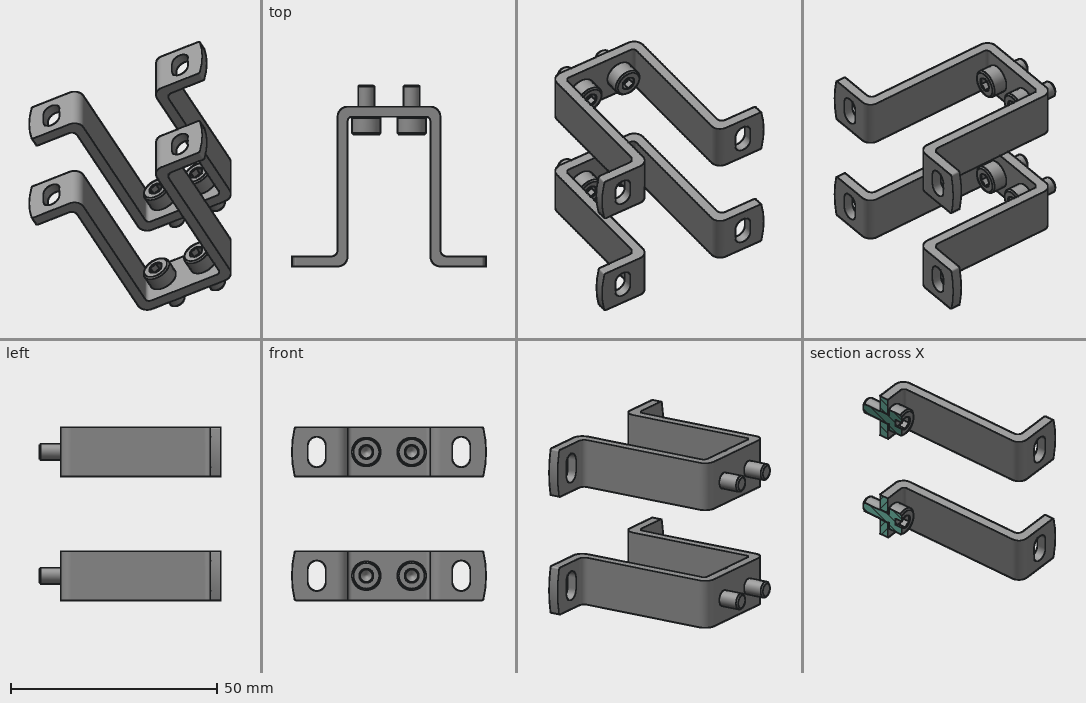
import cadquery as cq
import math

strip_width = 12.0
thickness = 2.5
inner_web_width = 20.0
outer_web_width = inner_web_width + 2 * thickness
bracket_depth = 38.8
foot_span = 47.14
outer_bend_radius = 2.5
web_inner_radius = 1.0
foot_inner_radius = 1.5
foot_end_radius = 25.0
foot_corner_radius = 0.5
bracket_pitch = 30.0

slot_spacing = 35.0
slot_width = 4.3
slot_length = 7.3

thread_diameter = 4.0
thread_length = 8.0
head_diameter = 7.0
head_height = 4.0
screw_spacing = 11.0
head_gap = 0.3
screw_chamfer = 0.4

socket_flats = 3.0
socket_corners = socket_flats / math.cos(math.pi / 6)
socket_depth = 2.0
socket_cone_slope = 30.0
socket_cone_depth = socket_flats / 2 * math.tan(math.radians(socket_cone_slope))
socket_lead_in = (socket_corners - socket_flats) / 2

inner_web_y = bracket_depth - thickness
screw_columns = (-screw_spacing / 2, screw_spacing / 2)
bracket_levels = (-bracket_pitch / 2, bracket_pitch / 2)


def round_bend_pair(strip, x, y, radius):
    """Fillet the two edges along Z that pass through (x, y) and its mirror image (-x, y)."""
    right_edge = cq.selectors.NearestToPointSelector((x, y, 0))
    left_edge = cq.selectors.NearestToPointSelector((-x, y, 0))
    return strip.edges(right_edge + left_edge).fillet(radius)


def bent_strip():
    """Hat-shaped profile in XY with rounded bends, centred on Z = 0."""
    inner_x = inner_web_width / 2
    outer_x = outer_web_width / 2
    end_x = foot_span / 2
    right_half = [
        (outer_x, bracket_depth),
        (outer_x, thickness),
        (end_x, thickness),
        (end_x, 0),
        (inner_x, 0),
        (inner_x, inner_web_y),
    ]
    left_half = [(-x, y) for x, y in reversed(right_half)]
    strip = cq.Workplane("XY").polyline(right_half + left_half).close()
    strip = strip.extrude(strip_width / 2, both=True)

    strip = round_bend_pair(strip, outer_x, bracket_depth, outer_bend_radius)
    strip = round_bend_pair(strip, inner_x, 0, outer_bend_radius)
    strip = round_bend_pair(strip, outer_x, thickness, foot_inner_radius)
    return round_bend_pair(strip, inner_x, inner_web_y, web_inner_radius)


def end_envelope():
    """Block along Y whose two ends are bowed outward, with rounded corners."""
    end_x = foot_span / 2
    half_width = strip_width / 2
    bow = foot_end_radius - math.sqrt(foot_end_radius**2 - half_width**2)
    corner_x = end_x - bow
    return (
        cq.Workplane("XZ")
        .moveTo(-corner_x, -half_width)
        .lineTo(corner_x, -half_width)
        .threePointArc((end_x, 0), (corner_x, half_width))
        .lineTo(-corner_x, half_width)
        .threePointArc((-end_x, 0), (-corner_x, -half_width))
        .close()
        .extrude(-bracket_depth)
        .edges("|Y")
        .fillet(foot_corner_radius)
    )


def make_bracket(z):
    """One bracket with slotted feet and two screw holes, centred on the level z."""
    slots = (
        cq.Workplane("XZ")
        .pushPoints([(-slot_spacing / 2, 0), (slot_spacing / 2, 0)])
        .slot2D(slot_length, slot_width, 90)
        .extrude(-thickness)
    )
    screw_holes = (
        cq.Workplane("XZ", origin=(0, inner_web_y, 0))
        .pushPoints([(x, 0) for x in screw_columns])
        .circle(thread_diameter / 2)
        .extrude(-thickness)
    )
    bracket = bent_strip().intersect(end_envelope())
    return bracket.cut(slots).cut(screw_holes).translate((0, 0, z))


def make_screw(x, z):
    """Screw along Y with its socket facing -Y, passing through the web at (x, z)."""
    head = (
        cq.Workplane("XZ")
        .circle(head_diameter / 2)
        .extrude(-head_height)
        .faces("<Y")
        .chamfer(screw_chamfer)
    )
    thread = (
        cq.Workplane("XZ", origin=(0, head_height, 0))
        .circle(thread_diameter / 2)
        .extrude(-thread_length)
        .faces(">Y")
        .chamfer(screw_chamfer)
    )
    hexagon = (
        cq.Workplane("XZ")
        .transformed(rotate=(0, 0, 90))
        .polygon(6, socket_corners)
        .extrude(-socket_depth)
    )
    bore = (
        cq.Workplane("XY")
        .polyline([
            (0, 0),
            (socket_corners / 2, 0),
            (socket_flats / 2, socket_lead_in),
            (socket_flats / 2, socket_depth),
            (0, socket_depth + socket_cone_depth),
        ])
        .close()
        .revolve(360, (0, 0), (0, 1))
    )
    screw = head.union(thread).cut(hexagon).cut(bore)
    return screw.translate((x, inner_web_y - head_gap - head_height, z))


brackets = [make_bracket(z) for z in bracket_levels]
screws = [make_screw(x, z) for z in bracket_levels for x in screw_columns]

result = cq.Compound.makeCompound([body.val() for body in brackets + screws])